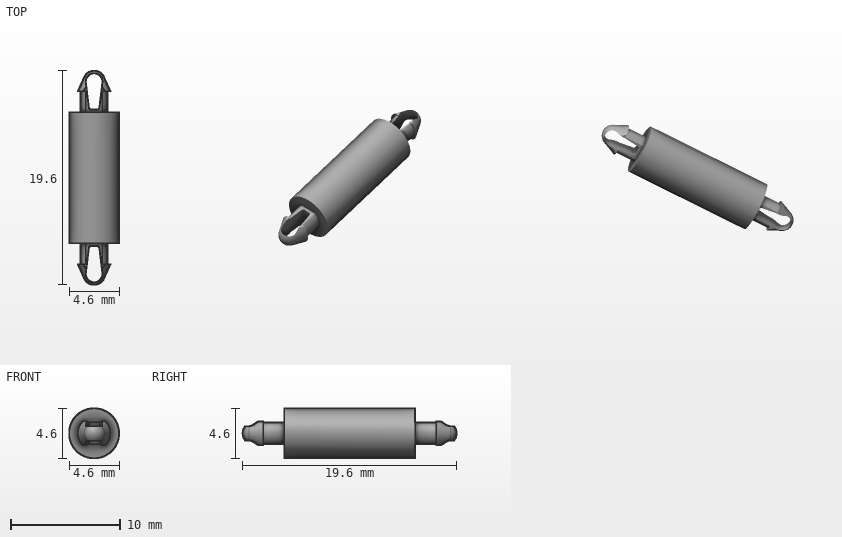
import cadquery as cq
import math

BODY_DIAMETER = 4.6
BODY_LENGTH = 12.0

PIN_LENGTH = 3.8
STEM_LENGTH = 1.9
STEM_DIAMETER = 2.5
STEM_THICKNESS = 2.0
HEAD_DIAMETER = 3.0
HEAD_THICKNESS = 2.2
TIP_RADIUS = 1.0

TIP_WALL = 0.25
SLOT_FLOOR = 0.25
SLOT_FLOOR_WIDTH = 0.9
SLOT_CORNER_RADIUS = 0.2

BODY_END = BODY_LENGTH / 2
HEAD_BASE = BODY_END + STEM_LENGTH
PIN_TIP = BODY_END + PIN_LENGTH
TIP_CENTER = PIN_TIP - TIP_RADIUS


def tangent_point(x, y, radius):
    """Point on the circle centred at (0, TIP_CENTER) where the line from (x, y) touches its +X side."""
    drop = y - TIP_CENTER
    angle = math.atan2(drop, x) + math.acos(radius / math.hypot(x, drop))
    return radius * math.cos(angle), TIP_CENTER + radius * math.sin(angle)


def slab(thickness):
    """Wide plate centred on Z = 0 that trims the round pin to two flats."""
    return cq.Workplane("XY").box(BODY_DIAMETER, 2 * PIN_TIP, thickness)


def make_body():
    return cq.Workplane("XZ", origin=(0, BODY_END, 0)).circle(BODY_DIAMETER / 2).extrude(BODY_LENGTH)


def make_stem():
    stem = cq.Workplane("XZ").circle(STEM_DIAMETER / 2).extrude(-HEAD_BASE)
    return stem.intersect(slab(STEM_THICKNESS))


def make_head():
    """Barbed cone running tangentially into a spherical tip."""
    base_radius = HEAD_DIAMETER / 2
    cone_top = tangent_point(base_radius, HEAD_BASE, TIP_RADIUS)
    arc_middle = (
        TIP_RADIUS * math.sin(math.pi / 4),
        TIP_CENTER + TIP_RADIUS * math.cos(math.pi / 4),
    )
    head = (
        cq.Workplane("XY")
        .moveTo(0, HEAD_BASE)
        .lineTo(base_radius, HEAD_BASE)
        .lineTo(*cone_top)
        .threePointArc(arc_middle, (0, PIN_TIP))
        .close()
        .revolve(360, (0, 0, 0), (0, 1, 0))
    )
    return head.intersect(slab(HEAD_THICKNESS))


def make_slot():
    """Cutter with a round end in the tip and straight sides narrowing to the floor."""
    radius = TIP_RADIUS - TIP_WALL
    floor_y = BODY_END + SLOT_FLOOR
    floor_x = SLOT_FLOOR_WIDTH / 2
    side_x, side_y = tangent_point(floor_x, floor_y, radius)
    return (
        cq.Workplane("XY")
        .moveTo(-floor_x, floor_y)
        .lineTo(floor_x, floor_y)
        .lineTo(side_x, side_y)
        .threePointArc((0, TIP_CENTER + radius), (-side_x, side_y))
        .close()
        .extrude(HEAD_DIAMETER, both=True)
        .edges("|Z and <Y")
        .fillet(SLOT_CORNER_RADIUS)
    )


def make_pin():
    return make_stem().union(make_head()).cut(make_slot())


pin = make_pin()
result = make_body().union(pin).union(pin.mirror("XZ"))